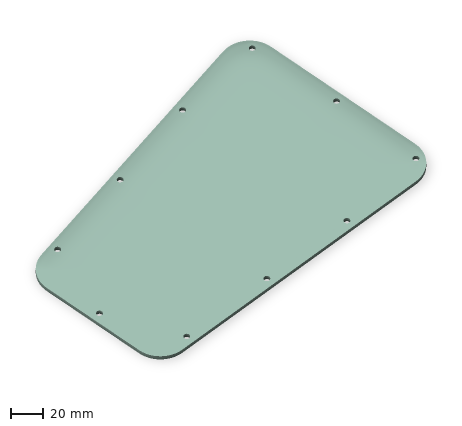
import cadquery as cq
import math

length = 235.5
thickness = 3.0
corner_radius = 20.0
wide_width = 157.8
narrow_corner_x = 37.7

hole_diameter = 4.2
end_hole_y = 111.5
wide_corner_hole = (66.9, 109.3)
side_hole_top = (67.0, 44.0)
side_hole_bottom = (52.7, -90.2)
side_hole_count = 3

wide_corner_x = wide_width / 2 - corner_radius
corner_y = length / 2 - corner_radius
taper = math.atan2(wide_corner_x - narrow_corner_x, 2 * corner_y)


def arc_point(center_x, center_y, angle):
    """Point on a right-hand corner arc at an angle in radians from +X."""
    return (
        center_x + corner_radius * math.cos(angle),
        center_y + corner_radius * math.sin(angle),
    )


def mirrored(point):
    return (-point[0], point[1])


def make_plate():
    wide_end = arc_point(wide_corner_x, corner_y, math.pi / 2)
    wide_mid = arc_point(wide_corner_x, corner_y, (math.pi / 2 - taper) / 2)
    wide_side = arc_point(wide_corner_x, corner_y, -taper)
    narrow_side = arc_point(narrow_corner_x, -corner_y, -taper)
    narrow_mid = arc_point(narrow_corner_x, -corner_y, -(math.pi / 2 + taper) / 2)
    narrow_end = arc_point(narrow_corner_x, -corner_y, -math.pi / 2)
    return (
        cq.Workplane("XY")
        .moveTo(*wide_end)
        .threePointArc(wide_mid, wide_side)
        .lineTo(*narrow_side)
        .threePointArc(narrow_mid, narrow_end)
        .lineTo(*mirrored(narrow_end))
        .threePointArc(mirrored(narrow_mid), mirrored(narrow_side))
        .lineTo(*mirrored(wide_side))
        .threePointArc(mirrored(wide_mid), mirrored(wide_end))
        .close()
        .extrude(thickness)
    )


def hole_points():
    right_side = [wide_corner_hole]
    for index in range(side_hole_count):
        fraction = index / (side_hole_count - 1)
        right_side.append((
            side_hole_top[0] + fraction * (side_hole_bottom[0] - side_hole_top[0]),
            side_hole_top[1] + fraction * (side_hole_bottom[1] - side_hole_top[1]),
        ))
    left_side = [mirrored(point) for point in right_side]
    return right_side + left_side + [(0, end_hole_y), (0, -end_hole_y)]


holes = (
    cq.Workplane("XY")
    .pushPoints(hole_points())
    .circle(hole_diameter / 2)
    .extrude(thickness)
)
result = make_plate().cut(holes)